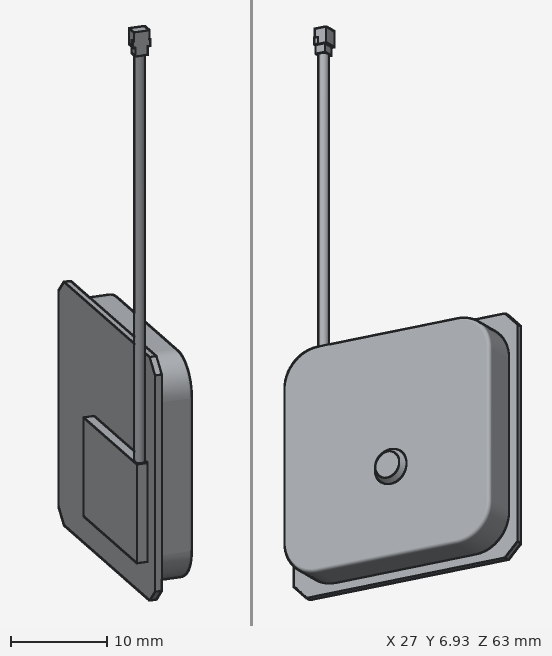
import cadquery as cq


BOARD_SIDE = 27.0
BOARD_THICKNESS = 0.75
BOARD_CORNER_CUT = 1.5
SHIELD_WIDTH = 15.0
SHIELD_HEIGHT = 10.95
SHIELD_DEPTH = 1.2
SHIELD_CENTER_X = 4.0
SHIELD_CENTER_Z = -3.9

PATCH_SIDE = 25.0
PATCH_DEPTH = 3.9
PATCH_CORNER_RADIUS = 4.05
PATCH_EDGE_RADIUS = 0.4
BUMP_DIAMETER = 3.85
BUMP_TOP_DIAMETER = 2.9
BUMP_HEIGHT = 0.7
BUMP_CENTER_X = -0.5
BUMP_CENTER_Z = -2.5

OVERALL_HEIGHT = 63.0
CABLE_DIAMETER = 1.15
CABLE_CENTER_X = 10.7
FERRULE_WIDTH = 1.15
FERRULE_DEPTH = 1.4
FERRULE_HEIGHT = 0.95
PLUG_WIDTH = 1.4
PLUG_DEPTH = 1.75
PLUG_HEIGHT = 1.75
FLANGE_WIDTH = 0.45
FLANGE_DEPTH = 1.95
FLANGE_HEIGHT = 0.75

shield_top = SHIELD_CENTER_Z + SHIELD_HEIGHT / 2
patch_back = BOARD_THICKNESS + PATCH_DEPTH
cable_center_y = -SHIELD_DEPTH / 2
plug_top = OVERALL_HEIGHT - BOARD_SIDE / 2
plug_bottom = plug_top - PLUG_HEIGHT
ferrule_bottom = plug_bottom - FERRULE_HEIGHT
plug_right = CABLE_CENTER_X + CABLE_DIAMETER / 2


def plane_facing_back(y):
    """Plane parallel to XZ at the given Y, whose normal is +Y and whose local axes are -X and Z."""
    return cq.Plane(origin=(0, y, 0), xDir=(-1, 0, 0), normal=(0, 1, 0))


def make_board():
    """Square board with cut corners and the shield can on its -Y face."""
    board = (
        cq.Workplane(plane_facing_back(0))
        .rect(BOARD_SIDE, BOARD_SIDE)
        .extrude(BOARD_THICKNESS)
        .edges("|Y")
        .chamfer(BOARD_CORNER_CUT)
    )
    shield = cq.Workplane("XY").box(SHIELD_WIDTH, SHIELD_DEPTH, SHIELD_HEIGHT).translate(
        (SHIELD_CENTER_X, -SHIELD_DEPTH / 2, SHIELD_CENTER_Z)
    )
    return board.union(shield)


def make_patch():
    """Rounded square ceramic block with a tapered solder bump on its +Y face."""
    block = (
        cq.Workplane(plane_facing_back(BOARD_THICKNESS))
        .rect(PATCH_SIDE, PATCH_SIDE)
        .extrude(PATCH_DEPTH)
        .edges("|Y")
        .fillet(PATCH_CORNER_RADIUS)
        .faces(">Y")
        .edges()
        .fillet(PATCH_EDGE_RADIUS)
    )
    bump = (
        cq.Workplane(plane_facing_back(patch_back))
        .center(-BUMP_CENTER_X, BUMP_CENTER_Z)
        .circle(BUMP_DIAMETER / 2)
        .workplane(offset=BUMP_HEIGHT)
        .circle(BUMP_TOP_DIAMETER / 2)
        .loft()
    )
    return block.union(bump)


def plug_block(width, depth, height, bottom):
    """Box flush with the +X side of the plug and centred on the cable in Y."""
    return (
        cq.Workplane("XY")
        .box(width, depth, height)
        .translate((plug_right - width / 2, cable_center_y, bottom + height / 2))
    )


def make_cable():
    """Round cable rising from the shield can, ending in a ferrule and a plug with a wider flange."""
    cord = (
        cq.Workplane("XY", origin=(CABLE_CENTER_X, cable_center_y, shield_top))
        .circle(CABLE_DIAMETER / 2)
        .extrude(ferrule_bottom - shield_top)
    )
    ferrule = plug_block(FERRULE_WIDTH, FERRULE_DEPTH, FERRULE_HEIGHT, ferrule_bottom)
    plug = plug_block(PLUG_WIDTH, PLUG_DEPTH, PLUG_HEIGHT, plug_bottom)
    flange = plug_block(FLANGE_WIDTH, FLANGE_DEPTH, FLANGE_HEIGHT, plug_bottom)
    return cord.union(ferrule).union(plug).union(flange)


board = make_board()
patch = make_patch()
cable = make_cable()

result = cq.Compound.makeCompound([board.val(), patch.val(), cable.val()])